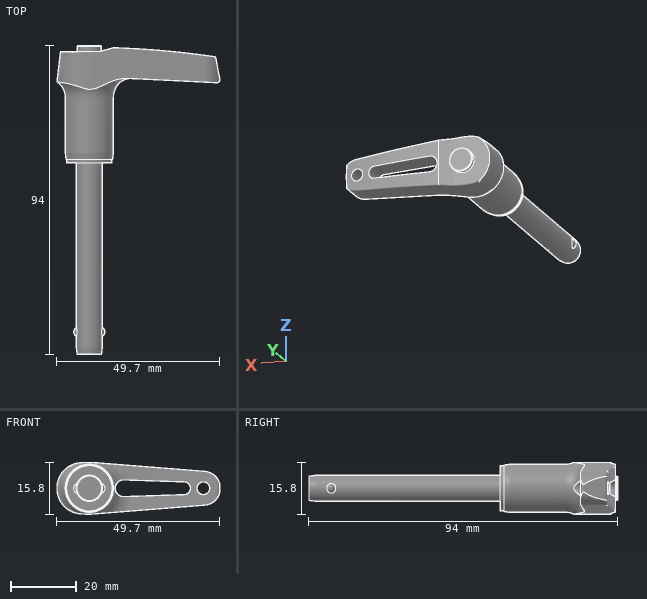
import cadquery as cq
import math


OVERALL_LENGTH = 94.0

SHANK_RADIUS = 4.0
SHANK_LENGTH = 58.2
TIP_RADIUS = 3.75
TIP_LENGTH = 2.0

BALL_RADIUS = 1.6
BALL_REACH = 4.75
BALL_FROM_TIP = 6.8

COLLAR_RADIUS = 7.35
COLLAR_LENGTH = 19.9
SHOULDER_RADIUS = 6.9
SHOULDER_LENGTH = 1.1
COLLAR_BEVEL_LENGTH = 1.8
COLLAR_BEVEL_DEPTH = 0.25
FLARE_RADIUS = 5.8

BUTTON_RADIUS = 3.7
BUTTON_CHAMFER_LENGTH = 0.4
BUTTON_CHAMFER_DEPTH = 0.15
BUTTON_TOP = OVERALL_LENGTH - SHANK_LENGTH

HEAD_HALF_WIDTH = 7.91
HEAD_BACK_X = -9.9
FLAT_START_X = -0.97
BLEND_START_X = -3.06
BLEND_RADIUS = 16.1
TAPER_START_X = 0.74
GRIP_END_X = 34.9
GRIP_END_HALF_WIDTH = 5.2
GRIP_END_TIP_X = 39.88

TIP_X_LOW = 40.0
TIP_X_HIGH = 38.5
HEAD_TOP = 33.9
RAMP_START_X = 3.1
CREST_X = 7.4
CREST_TOP = 35.1
GRIP_TIP_TOP = 32.3
GRIP_CROWN = 0.45
GRIP_TIP_BOTTOM = 24.3
TIP_EDGE_RADIUS = 1.0
TOP_EDGE_RADIUS = 0.4
FLARE_TOP = COLLAR_LENGTH + FLARE_RADIUS
FLARE_OUTER_RADIUS = COLLAR_RADIUS + FLARE_RADIUS

RELIEF_RADIUS_LOW = -HEAD_BACK_X
RELIEF_RADIUS_HIGH = 8.8
RELIEF_LOW = 24.6

SLOT_START_X = 7.9
SLOT_END_X = 30.75
SLOT_START_RADIUS = 2.5
SLOT_END_RADIUS = 1.9
HOLE_X = 34.7
HOLE_RADIUS = 1.9

MARGIN = 5.0


def plan_at(y):
    """Work plane square to the pin axis at height y; local x = X, local y = Z."""
    return cq.Workplane(cq.Plane(origin=(0, y, 0), xDir=(1, 0, 0), normal=(0, -1, 0)))


def revolve_about_pin(profile):
    return profile.close().revolve(360, (0, 0, 0), (0, 1, 0))


def make_shank_and_button():
    profile = (
        cq.Workplane("XY")
        .moveTo(0, -SHANK_LENGTH)
        .lineTo(TIP_RADIUS, -SHANK_LENGTH)
        .lineTo(SHANK_RADIUS, TIP_LENGTH - SHANK_LENGTH)
        .lineTo(SHANK_RADIUS, FLARE_TOP)
        .lineTo(BUTTON_RADIUS, FLARE_TOP)
        .lineTo(BUTTON_RADIUS, BUTTON_TOP - BUTTON_CHAMFER_LENGTH)
        .lineTo(BUTTON_RADIUS - BUTTON_CHAMFER_DEPTH, BUTTON_TOP)
        .lineTo(0, BUTTON_TOP)
    )
    return revolve_about_pin(profile)


def make_balls():
    ball_y = BALL_FROM_TIP - SHANK_LENGTH
    ball_x = BALL_REACH - BALL_RADIUS
    return (
        cq.Workplane("XY")
        .pushPoints([(-ball_x, ball_y), (ball_x, ball_y)])
        .sphere(BALL_RADIUS)
    )


def make_revolved_envelope():
    """Collar and flare, carried on by the coned underside and coned end of the grip."""
    diagonal = FLARE_RADIUS * math.sqrt(0.5)
    profile = (
        cq.Workplane("XY")
        .moveTo(0, 0)
        .lineTo(SHOULDER_RADIUS, 0)
        .lineTo(SHOULDER_RADIUS, SHOULDER_LENGTH)
        .lineTo(COLLAR_RADIUS - COLLAR_BEVEL_DEPTH, SHOULDER_LENGTH)
        .lineTo(COLLAR_RADIUS, SHOULDER_LENGTH + COLLAR_BEVEL_LENGTH)
        .lineTo(COLLAR_RADIUS, COLLAR_LENGTH)
        .threePointArc(
            (FLARE_OUTER_RADIUS - diagonal, COLLAR_LENGTH + diagonal),
            (FLARE_OUTER_RADIUS, FLARE_TOP),
        )
        .lineTo(TIP_X_LOW, GRIP_TIP_BOTTOM)
        .lineTo(TIP_X_HIGH, GRIP_TIP_TOP)
        .lineTo(0, BUTTON_TOP + MARGIN)
    )
    envelope = revolve_about_pin(profile)
    tip_rim = cq.selectors.NearestToPointSelector((0, GRIP_TIP_BOTTOM, 0))
    return envelope.edges("%CIRCLE").edges(tip_rim).fillet(TIP_EDGE_RADIUS)


def blend_half_width(x):
    """Half width of the head along the blend arc."""
    return HEAD_HALF_WIDTH - BLEND_RADIUS + math.sqrt(BLEND_RADIUS ** 2 - (x - FLAT_START_X) ** 2)


def make_plan_prism():
    """Handle outline carried along the pin axis."""
    height = CREST_TOP + MARGIN
    blend_start_z = blend_half_width(BLEND_START_X)
    blend_mid_x = (BLEND_START_X + FLAT_START_X) / 2
    blend_mid_z = blend_half_width(blend_mid_x)
    return (
        plan_at(height)
        .moveTo(FLAT_START_X, -HEAD_HALF_WIDTH)
        .lineTo(TAPER_START_X, -HEAD_HALF_WIDTH)
        .lineTo(GRIP_END_X, -GRIP_END_HALF_WIDTH)
        .threePointArc((GRIP_END_TIP_X, 0), (GRIP_END_X, GRIP_END_HALF_WIDTH))
        .lineTo(TAPER_START_X, HEAD_HALF_WIDTH)
        .lineTo(FLAT_START_X, HEAD_HALF_WIDTH)
        .threePointArc((blend_mid_x, blend_mid_z), (BLEND_START_X, blend_start_z))
        .threePointArc((HEAD_BACK_X, 0), (BLEND_START_X, -blend_start_z))
        .threePointArc((blend_mid_x, -blend_mid_z), (FLAT_START_X, -HEAD_HALF_WIDTH))
        .close()
        .extrude(height)
    )


def make_top_profile():
    """Side profile bounded by the upper line of the handle, spread over its full width."""
    far_left = HEAD_BACK_X - MARGIN
    far_right = TIP_X_LOW + MARGIN
    crown_point = (
        (CREST_X + TIP_X_HIGH) / 2,
        (CREST_TOP + GRIP_TIP_TOP) / 2 + GRIP_CROWN,
    )
    return (
        cq.Workplane("XY")
        .moveTo(far_left, 0)
        .lineTo(far_right, 0)
        .lineTo(far_right, GRIP_TIP_TOP)
        .lineTo(TIP_X_HIGH, GRIP_TIP_TOP)
        .threePointArc(crown_point, (CREST_X, CREST_TOP))
        .lineTo(RAMP_START_X, HEAD_TOP)
        .lineTo(far_left, HEAD_TOP)
        .close()
        .extrude(HEAD_HALF_WIDTH + MARGIN, both=True)
    )


def make_head_relief():
    """Material outside a cone about the pin axis, on the back half of the head only."""
    slope = (RELIEF_RADIUS_HIGH - RELIEF_RADIUS_LOW) / (HEAD_TOP - RELIEF_LOW)
    high = HEAD_TOP + MARGIN
    cone = (
        cq.Workplane("XY")
        .moveTo(0, RELIEF_LOW)
        .lineTo(RELIEF_RADIUS_LOW, RELIEF_LOW)
        .lineTo(RELIEF_RADIUS_LOW + slope * (high - RELIEF_LOW), high)
        .lineTo(0, high)
    )
    depth = RELIEF_RADIUS_LOW + MARGIN
    block = (
        cq.Workplane("XY")
        .box(depth, high - RELIEF_LOW, 2 * depth, centered=(False, False, True))
        .translate((BLEND_START_X - depth, RELIEF_LOW, 0))
    )
    return block.cut(revolve_about_pin(cone))


def make_openings():
    """Tapered slot and round hole through the grip."""
    start_x = SLOT_START_X + SLOT_START_RADIUS
    end_x = SLOT_END_X - SLOT_END_RADIUS
    lean = (SLOT_START_RADIUS - SLOT_END_RADIUS) / (end_x - start_x)
    rise = math.sqrt(1 - lean ** 2)
    start_tangent = (start_x + SLOT_START_RADIUS * lean, SLOT_START_RADIUS * rise)
    end_tangent = (end_x + SLOT_END_RADIUS * lean, SLOT_END_RADIUS * rise)
    depth = BUTTON_TOP + MARGIN
    slot = (
        plan_at(depth)
        .moveTo(start_tangent[0], -start_tangent[1])
        .lineTo(end_tangent[0], -end_tangent[1])
        .threePointArc((SLOT_END_X, 0), end_tangent)
        .lineTo(*start_tangent)
        .threePointArc((SLOT_START_X, 0), (start_tangent[0], -start_tangent[1]))
        .close()
        .extrude(depth)
    )
    hole = plan_at(depth).center(HOLE_X, 0).circle(HOLE_RADIUS).extrude(depth)
    return slot.union(hole)


def round_top_edges(handle):
    """Round the long upper edges on both flanks."""
    lowest = GRIP_TIP_TOP - TOP_EDGE_RADIUS
    far_x = GRIP_END_TIP_X + MARGIN
    far_z = HEAD_HALF_WIDTH + MARGIN
    near_z = TOP_EDGE_RADIUS
    box = cq.selectors.BoxSelector
    right_edges = box((-far_x, lowest, -far_z), (far_x, CREST_TOP, -near_z))
    left_edges = box((-far_x, lowest, near_z), (far_x, CREST_TOP, far_z))
    return handle.edges(right_edges + left_edges).fillet(TOP_EDGE_RADIUS)


def make_handle():
    outline = make_plan_prism().intersect(make_top_profile())
    handle = round_top_edges(outline.intersect(make_revolved_envelope()))
    return handle.cut(make_head_relief()).cut(make_openings())


result = make_handle().union(make_shank_and_button()).union(make_balls())